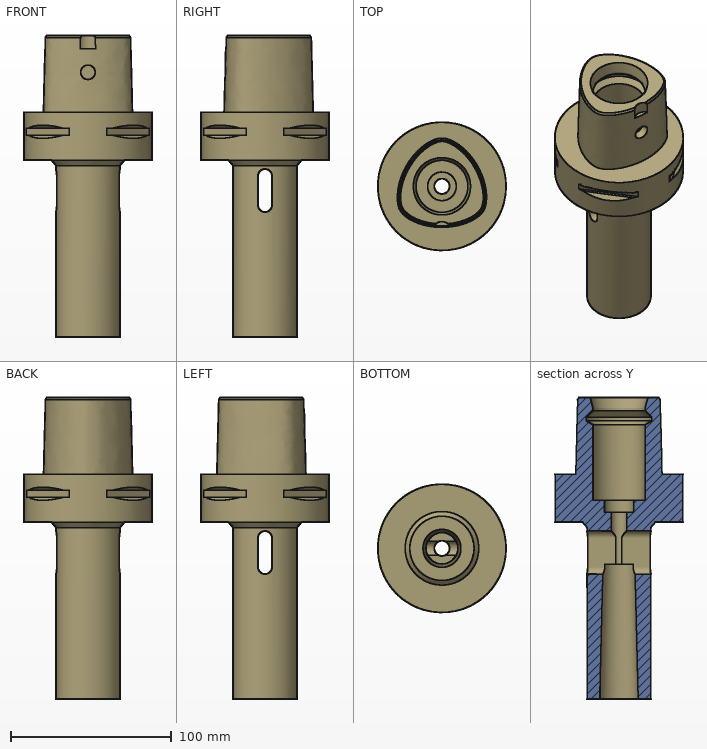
import cadquery as cq
import math

total_height = 188.0
flange_bottom = 110.4
flange_top = 140.2
flange_radius = 40.0
shank_radius = flange_radius / 2
neck_radius = 23.0
neck_height = 3.4

base_radius = 27.8
lobe = 2.3
side_slope = 1 / 40
rim_chamfer_height = 1.3
rim_chamfer_width = 1.0
outline_points = 48

bore_radius = 16.2
entry_radius = 17.9
entry_depth = 6.5
lip_depth = 8.3
groove_radius = 20.3
groove_start = 12.2
groove_end = 14.5
groove_runout = 17.0
bore_depth = 64.0
counterbore_radius = entry_radius / 2
counterbore_depth = 71.5
passage_radius = 4.7

notch_radius = 6.0
notch_centre = 28.0
notch_depth = 8.3
side_hole_radius = 4.5
side_hole_z = 165.0
side_hole_floor = 19.4

gripper_z = 128.0
gripper_floor = 35.3
gripper_step = 36.8
gripper_height = 4.1
gripper_flare = 2.0

drift_bottom = 78.0
drift_top = 104.7
drift_width = 8.6
socket_mouth_radius = 11.8
socket_end_radius = 9.8
socket_depth = 84.0


def lobed_wire(mean_radius, z):
    """Closed outline whose distance to its tangents is mean_radius + lobe * cos(3 * angle)."""
    points = []
    for i in range(outline_points):
        a = 2 * math.pi * i / outline_points
        along = mean_radius * math.cos(a) + lobe * (2 * math.cos(2 * a) - math.cos(4 * a))
        across = mean_radius * math.sin(a) - lobe * (2 * math.sin(2 * a) + math.sin(4 * a))
        points.append(cq.Vector(-across, along, z))
    return cq.Wire.assembleEdges([cq.Edge.makeSpline(points, periodic=True)])


def coupling():
    chamfer_z = total_height - rim_chamfer_height
    upper_radius = base_radius - side_slope * (chamfer_z - flange_top)
    base = lobed_wire(base_radius, flange_top)
    shoulder = lobed_wire(upper_radius, chamfer_z)
    rim = lobed_wire(upper_radius - rim_chamfer_width, total_height)
    cone = cq.Solid.makeLoft([base, shoulder], True)
    chamfer = cq.Solid.makeLoft([shoulder, rim], True)
    return cq.Workplane(cone).union(cq.Workplane(chamfer))


def revolved(profile):
    """Turn a closed (radius, z) profile about the Z axis."""
    return cq.Workplane("XZ").polyline(profile).close().revolve(360, (0, 0), (0, 1))


def flange_and_shank():
    return revolved([
        (0, 0),
        (shank_radius, 0),
        (shank_radius, flange_bottom - neck_height),
        (neck_radius, flange_bottom),
        (flange_radius, flange_bottom),
        (flange_radius, flange_top),
        (0, flange_top),
    ])


def clamping_bore():
    steps = [
        (0, 0),
        (entry_radius, 0),
        (bore_radius, entry_depth),
        (bore_radius, lip_depth),
        (groove_radius, groove_start),
        (groove_radius, groove_end),
        (bore_radius, groove_runout),
        (bore_radius, bore_depth),
        (counterbore_radius, bore_depth),
        (counterbore_radius, counterbore_depth),
        (passage_radius, counterbore_depth),
        (passage_radius, total_height),
        (0, total_height),
    ]
    return revolved([(radius, total_height - depth) for radius, depth in steps])


def morse_socket():
    return revolved([(0, 0), (socket_mouth_radius, 0), (socket_end_radius, socket_depth), (0, socket_depth)])


def key_notch():
    floor = cq.Workplane("XY", origin=(0, -notch_centre, total_height - notch_depth))
    return floor.circle(notch_radius).extrude(notch_depth)


def side_hole():
    floor = cq.Workplane("XZ", origin=(0, -side_hole_floor, side_hole_z))
    return floor.circle(side_hole_radius).extrude(base_radius)


def gripper_groove(angle):
    half = gripper_height / 2
    half_mouth = half + gripper_flare
    section = [
        (gripper_floor, -half),
        (gripper_step, -half),
        (flange_radius, -half_mouth),
        (flange_radius, half_mouth),
        (gripper_step, half),
        (gripper_floor, half),
    ]
    groove = cq.Workplane("XZ", origin=(0, 0, gripper_z)).polyline(section).close()
    return groove.extrude(flange_radius, both=True).rotate((0, 0, 0), (0, 0, 1), angle)


def drift_slot():
    middle = cq.Workplane("YZ", origin=(0, 0, (drift_bottom + drift_top) / 2))
    return middle.slot2D(drift_top - drift_bottom, drift_width, 90).extrude(shank_radius, both=True)


result = flange_and_shank().union(coupling())
result = result.cut(clamping_bore()).cut(morse_socket())
result = result.cut(key_notch()).cut(side_hole()).cut(drift_slot())
for diagonal in (45, 135, 225, 315):
    result = result.cut(gripper_groove(diagonal))